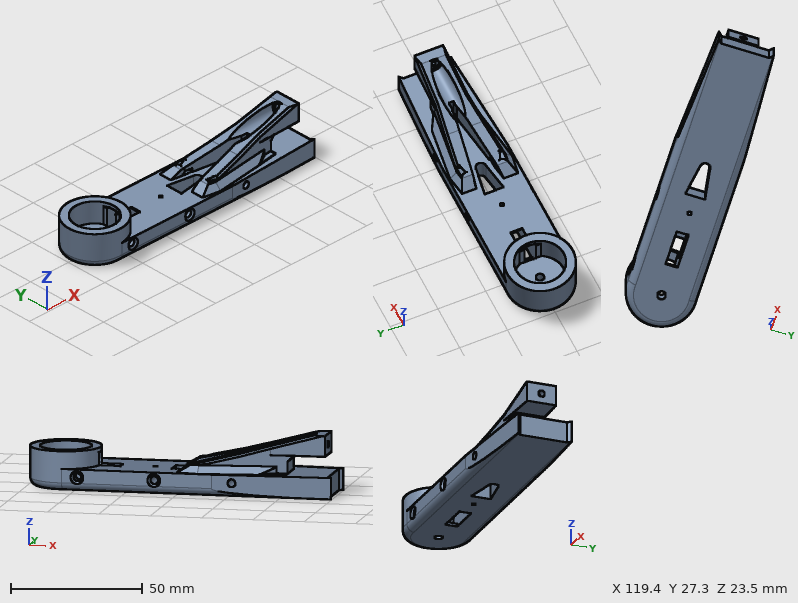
import cadquery as cq

LENGTH = 119.4
HEIGHT = 23.5

CUP_DIAMETER = 27.3
CUP_HEIGHT = 15.2
CUP_X = CUP_DIAMETER / 2
BORE_RADIUS = 9.9
BORE_FLOOR = 5.3
PIVOT_HOLE_DIAMETER = 3.2
FLAT_X = CUP_X + 8.8
FLAT_TOP = 13.4

PLATE_WIDTH = 27.2
PLATE_THICKNESS = 8.4
BOTTOM_FILLET = 3.0
TAPER_START_X = 73.3
END_HALF_WIDTH = 11.0
END_RECESS_DEPTH = 1.4

SLOT_START_X = 26.3
SLOT_END_X = 35.3
SLOT_WIDTH = 4.8
UNDERCUT_END_X = 40.1
UNDERCUT_TOP = 7.8
PASSAGE_FLOOR = 1.2
PIN_HOLE_X = 48.6
PIN_HOLE_DIAMETER = 1.4
WINDOW_START_X = 55.8
WINDOW_END_X = 69.8
WINDOW_HALF_WIDTH = 3.9
WINDOW_END_RADIUS = 2.0

SCREW_Z = 5.3
SCREW_DIAMETER = 3.0
SCREW_HEAD_DIAMETER = 4.9
BLIND_SCREW_X = 20.9
BLIND_SCREW_DEPTH = 4.8
THROUGH_SCREW_X = 50.9
PLAIN_HOLE_X = 81.1

FOOT_X = 59.5
RAMP_START = (64.2, 11.2)
RAMP_BEND = (82.4, 15.5)
RAMP_END_X = 111.4
HEAD_START_X = 94.5
HEAD_END_X = 115.9
HEAD_BOTTOM = 15.5
HEAD_START_HALF_WIDTH = 6.7
HEAD_END_HALF_WIDTH = 6.0
NECK_END_X = 101.2
NECK_CHAMFER = 2.5
NECK_HALF_WIDTH = 5.9
SHOULDER_X = 67.7
SHOULDER_HALF_WIDTH = 10.1
RAMP_EDGE_CHAMFER = 1.0

SKIRT_TOP = RAMP_START[1]
SKIRT_ANGLE = 44.0
SKIRT_FOOT_HALF_WIDTH = 11.7
SKIRT_HALF_WIDTH = 13.0
SKIRT_END_START = (91.2, 9.9)
SKIRT_END_STOP = (97.2, 6.6)
LIP_HEIGHT = 0.2
LIP_END_HALF_WIDTH = 8.5

GAP_FOOT_HALF_WIDTH = 5.7
GAP_END_X = 92.3
GAP_END_HALF_WIDTH = 1.1
GAP_NOTCH_END_X = 95.3
GAP_NOTCH_WIDTH = 1.9

HEAD_BORE_Z = 19.7
HEAD_BORE_RADIUS = 3.7
HEAD_BORE_END_X = 111.4
HEAD_SEAT_RADIUS = 3.0
HEAD_SEAT_DEPTH = 0.7
HEAD_HOLE_Z = 19.5
HEAD_HOLE_DIAMETER = 2.5

TUNNEL_EXIT_Y = 4.8
TUNNEL_SLOPE = 0.64
TUNNEL_START_X = 65.2
TUNNEL_END_X = 69.5
TUNNEL_ROOF_START_X = 66.0
TUNNEL_HEIGHT = 1.4

CLEARANCE = 6.0
CLEAR_Y = CUP_DIAMETER


def line_y(start, end, x):
    """Y at the given x on the straight line through two points."""
    return start[1] + (end[1] - start[1]) * (x - start[0]) / (end[0] - start[0])


def mirrored_prism(half_outline, bottom, top, taper=0):
    """Upright prism whose outline is the given upper half and its mirror image in Y."""
    lower_half = [(x, -y) for x, y in reversed(half_outline)]
    return (cq.Workplane("XY").workplane(offset=bottom)
            .polyline(half_outline + lower_half).close().extrude(top - bottom, taper=taper))


def cylinder_up(x, radius, bottom, top):
    return cq.Workplane("XY", origin=(x, 0, bottom)).circle(radius).extrude(top - bottom)


def cylinder_along_x(radius, z, end):
    """Cylinder from the bend of the ramp to the given X, centred at the given height."""
    return cq.Workplane("YZ", origin=(RAMP_BEND[0], 0, z)).circle(radius).extrude(end - RAMP_BEND[0])


def block(start, end, width, bottom, top):
    """Box between two X places, centred on Y = 0."""
    return (cq.Workplane("XY", origin=((start + end) / 2, 0, bottom))
            .rect(end - start, width).extrude(top - bottom))


def plate_and_cup():
    plate = block(CUP_X, LENGTH, PLATE_WIDTH, 0, PLATE_THICKNESS)
    body = plate.union(cylinder_up(CUP_X, CUP_DIAMETER / 2, 0, CUP_HEIGHT))
    body = body.faces("<Z").edges("not(>X)").fillet(BOTTOM_FILLET)
    outline = [
        (-CLEARANCE, CLEAR_Y),
        (TAPER_START_X, CLEAR_Y),
        (TAPER_START_X, PLATE_WIDTH / 2),
        (LENGTH, END_HALF_WIDTH),
        (LENGTH - END_RECESS_DEPTH, END_HALF_WIDTH - END_RECESS_DEPTH),
    ]
    return body.intersect(mirrored_prism(outline, 0, CUP_HEIGHT))


def cup_interior():
    bore = cylinder_up(CUP_X, BORE_RADIUS, BORE_FLOOR, CUP_HEIGHT)
    pad = block(FLAT_X, CUP_DIAMETER, 2 * BORE_RADIUS, BORE_FLOOR, FLAT_TOP)
    pivot_hole = cylinder_up(CUP_X, PIVOT_HOLE_DIAMETER / 2, 0, BORE_FLOOR)
    return bore.cut(pad).union(pivot_hole)


def plate_openings():
    slot = block(SLOT_START_X, SLOT_END_X, SLOT_WIDTH, 0, PLATE_THICKNESS)
    undercut = block(SLOT_END_X, UNDERCUT_END_X, SLOT_WIDTH, 0, UNDERCUT_TOP)
    cup_passage = block(FLAT_X, CUP_DIAMETER, SLOT_WIDTH, PASSAGE_FLOOR, FLAT_TOP)
    pin_hole = cylinder_up(PIN_HOLE_X, PIN_HOLE_DIAMETER / 2, 0, PLATE_THICKNESS)
    arc_x = WINDOW_END_X - WINDOW_END_RADIUS
    window = (cq.Workplane("XY")
              .moveTo(WINDOW_START_X, -WINDOW_HALF_WIDTH)
              .lineTo(arc_x, -WINDOW_END_RADIUS)
              .threePointArc((WINDOW_END_X, 0), (arc_x, WINDOW_END_RADIUS))
              .lineTo(WINDOW_START_X, WINDOW_HALF_WIDTH)
              .close().extrude(PLATE_THICKNESS))
    return slot.union(undercut).union(cup_passage).union(pin_hole).union(window)


def cross_hole(x, depth):
    """Hole running in +Y from the -Y side of the plate."""
    return (cq.Workplane("XZ", origin=(x, -PLATE_WIDTH / 2, SCREW_Z))
            .circle(SCREW_DIAMETER / 2).extrude(-depth))


def countersink(x):
    depth = (SCREW_HEAD_DIAMETER - SCREW_DIAMETER) / 2
    return cq.Workplane(cq.Solid.makeCone(
        SCREW_HEAD_DIAMETER / 2, SCREW_DIAMETER / 2, depth,
        cq.Vector(x, -PLATE_WIDTH / 2, SCREW_Z), cq.Vector(0, 1, 0)))


def cross_holes():
    return (cross_hole(BLIND_SCREW_X, BLIND_SCREW_DEPTH)
            .union(countersink(BLIND_SCREW_X))
            .union(cross_hole(THROUGH_SCREW_X, PLATE_WIDTH))
            .union(countersink(THROUGH_SCREW_X))
            .union(cross_hole(PLAIN_HOLE_X, PLATE_WIDTH)))


def side_profile(points):
    """Slab with the given XZ outline, wide enough to cover the whole part in Y."""
    return (cq.Workplane("XZ", origin=(0, CLEAR_Y, 0))
            .polyline(points).close().extrude(2 * CLEAR_Y))


def chamfer_ramp_edges(solid):
    """Chamfer the long outer edges between the ramp and the side walls, from the shoulder on."""
    def is_ramp_edge(edge):
        box = edge.BoundingBox()
        gentle_rise = box.zlen > RAMP_EDGE_CHAMFER and box.xlen > 2 * box.zlen
        return gentle_rise and box.xmin > (RAMP_START[0] + SHOULDER_X) / 2
    edges = [edge for edge in solid.edges().vals() if is_ramp_edge(edge)]
    return solid.newObject(edges).chamfer(RAMP_EDGE_CHAMFER)


def ramp():
    ramp_end = (RAMP_END_X, HEIGHT)
    ramp_line = [(FOOT_X, PLATE_THICKNESS), RAMP_START, RAMP_BEND, ramp_end]
    leg_profile = side_profile(ramp_line + [
        (RAMP_END_X, HEAD_BOTTOM),
        (NECK_END_X + NECK_CHAMFER, HEAD_BOTTOM),
        (NECK_END_X, HEAD_BOTTOM - NECK_CHAMFER),
        (NECK_END_X, PLATE_THICKNESS),
    ])
    shoulder = (SHOULDER_X, SHOULDER_HALF_WIDTH)
    neck = (NECK_END_X, NECK_HALF_WIDTH)
    leg_end_x = NECK_END_X + NECK_CHAMFER
    walls = mirrored_prism([
        (RAMP_START[0], SHOULDER_HALF_WIDTH),
        shoulder,
        (leg_end_x, line_y(shoulder, neck, leg_end_x)),
    ], PLATE_THICKNESS, HEIGHT)
    legs = chamfer_ramp_edges(walls.intersect(leg_profile))

    head_start_z = line_y(RAMP_BEND, ramp_end, HEAD_START_X)
    head_profile = side_profile([
        (HEAD_START_X, HEAD_BOTTOM),
        (HEAD_START_X, head_start_z),
        ramp_end,
        (HEAD_END_X, HEIGHT),
        (HEAD_END_X, HEAD_BOTTOM),
    ])
    head = mirrored_prism([
        (HEAD_START_X, HEAD_START_HALF_WIDTH),
        (HEAD_END_X, HEAD_END_HALF_WIDTH),
    ], HEAD_BOTTOM, HEIGHT).intersect(head_profile)
    head = chamfer_ramp_edges(head)
    return legs.union(head).union(skirt().intersect(leg_profile))


def skirt():
    foot = (FOOT_X, SKIRT_FOOT_HALF_WIDTH)
    shoulder = (SHOULDER_X, SKIRT_HALF_WIDTH)
    start_x = FOOT_X - CLEARANCE
    stop_x = NECK_END_X + CLEARANCE
    sloped = mirrored_prism([
        (start_x, line_y(foot, shoulder, start_x)),
        shoulder,
        (stop_x, line_y(shoulder, SKIRT_END_START, stop_x)),
    ], PLATE_THICKNESS, SKIRT_TOP, taper=SKIRT_ANGLE)
    end_cut_x = SHOULDER_X + CLEARANCE
    end_cut = mirrored_prism([
        (start_x, CLEAR_Y),
        (end_cut_x, line_y(SKIRT_END_START, SKIRT_END_STOP, end_cut_x)),
        SKIRT_END_STOP,
    ], PLATE_THICKNESS, SKIRT_TOP)
    return sloped.intersect(end_cut)


def lip():
    start_x, start_y = SKIRT_END_START
    return (cq.Workplane("XY", origin=(0, 0, PLATE_THICKNESS))
            .polyline([(start_x, 0), (start_x, -start_y),
                       (NECK_END_X, -LIP_END_HALF_WIDTH), (NECK_END_X, 0)])
            .close().extrude(LIP_HEIGHT))


def leg_gap():
    foot = (FOOT_X, GAP_FOOT_HALF_WIDTH)
    end = (GAP_END_X, GAP_END_HALF_WIDTH)
    start_x = FOOT_X - CLEARANCE
    return mirrored_prism([
        (start_x, line_y(foot, end, start_x)),
        end,
        (GAP_END_X, GAP_NOTCH_WIDTH / 2),
        (GAP_NOTCH_END_X, GAP_NOTCH_WIDTH / 2),
    ], PLATE_THICKNESS, HEIGHT)


def head_bore():
    seat_end_x = HEAD_BORE_END_X + HEAD_SEAT_DEPTH
    bore = cylinder_along_x(HEAD_BORE_RADIUS, HEAD_BORE_Z, HEAD_BORE_END_X)
    seat = cylinder_along_x(HEAD_SEAT_RADIUS, HEAD_HOLE_Z, seat_end_x)
    hole = cylinder_along_x(HEAD_HOLE_DIAMETER / 2, HEAD_HOLE_Z, HEAD_END_X)
    return bore.union(seat).union(hole)


def leg_tunnels():
    """Sloping tunnel through the +Y leg, and its mirror image."""
    exit_plane = cq.Plane(origin=(0, TUNNEL_EXIT_Y, PLATE_THICKNESS), xDir=(1, 0, 0),
                          normal=(0, -1, -TUNNEL_SLOPE))
    outline = [
        (TUNNEL_START_X, 0),
        (TUNNEL_ROOF_START_X, TUNNEL_HEIGHT),
        (TUNNEL_END_X, TUNNEL_HEIGHT),
        (TUNNEL_END_X, 0),
    ]
    tunnel = (cq.Workplane(exit_plane).polyline(outline).close()
              .extrude(CLEAR_Y, both=True))
    above_plate = block(0, LENGTH, 2 * CLEAR_Y, PLATE_THICKNESS, HEIGHT)
    tunnel = tunnel.intersect(above_plate)
    return tunnel.union(tunnel.mirror("XZ"))


upper = ramp().cut(leg_gap()).cut(head_bore()).cut(leg_tunnels())
result = (plate_and_cup()
          .union(upper)
          .union(lip())
          .cut(cup_interior())
          .cut(plate_openings())
          .cut(cross_holes()))